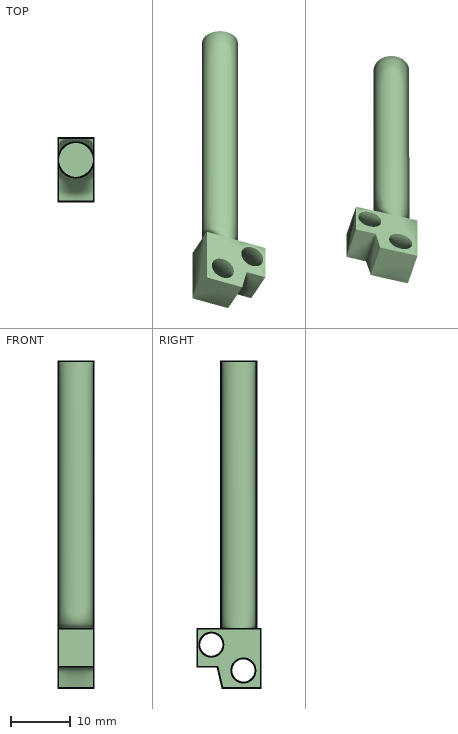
import cadquery as cq

total_height = 55.0
block_height = 10.0
block_depth = 10.7
thickness = 6.0

shank_diameter = thickness
shank_y = 1.65

step_height = 3.6
foot_top_width = 7.3
foot_bottom_width = 6.5

hole_diameter = 4.0
hole_centers = [(2.4, 2.95), (-2.95, 7.3)]

back_y = block_depth / 2
front_y = -back_y


def make_block():
    """Side outline in the YZ plane, extruded evenly about X = 0."""
    outline = [
        (back_y, 0),
        (back_y, block_height),
        (front_y, block_height),
        (front_y, step_height),
        (back_y - foot_top_width, step_height),
        (back_y - foot_bottom_width, 0),
    ]
    return cq.Workplane("YZ").polyline(outline).close().extrude(thickness / 2, both=True)


def make_shank():
    return (
        cq.Workplane("XY", origin=(0, shank_y, block_height))
        .circle(shank_diameter / 2)
        .extrude(total_height - block_height)
    )


def make_cross_holes():
    return (
        cq.Workplane("YZ")
        .pushPoints(hole_centers)
        .circle(hole_diameter / 2)
        .extrude(thickness, both=True)
    )


result = make_block().union(make_shank()).cut(make_cross_holes())